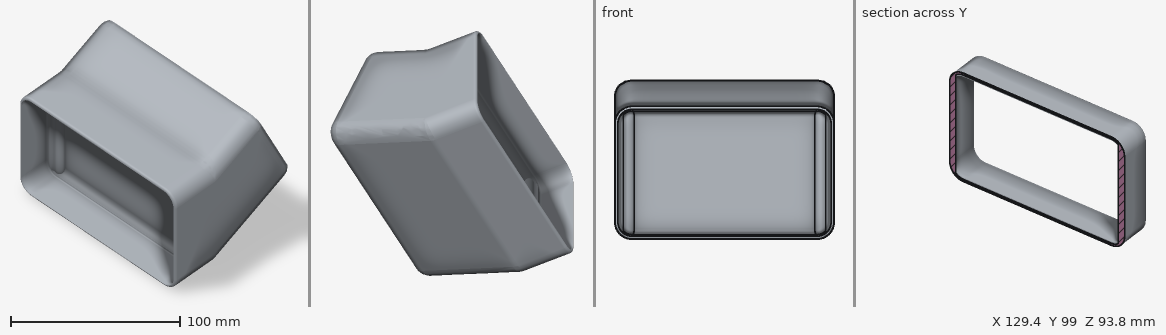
import cadquery as cq
import math

width = 129.4
height = 78.4
corner_radius = 10.2
bend_angle = 25.0
bend_position = 33.6
branch_length = 73.14
inner_bend_radius = 20.0
outer_bend_radius = 8.0

end_round_radius = 8.0
end_face_inset = 2.0

wall = 1.75
rim_round = 1.7
ledge_depth = 21.7
ledge_corner_round = 1.0
pocket_inset = 4.85
floor_depth = 27.2
lip_round = 2.2
floor_round = 4.4

slope_cos = math.cos(math.radians(bend_angle))
slope_sin = math.sin(math.radians(bend_angle))
slope = cq.Vector(0, slope_cos, slope_sin)
mid_height = height / 2
end_round_depth = math.sqrt(end_round_radius**2 - (end_round_radius - end_face_inset) ** 2)
end_trim = end_round_radius - end_round_depth

step_angle = math.acos(1 - (floor_depth - ledge_depth) / (lip_round + floor_round))
pocket_half_width = width / 2 - pocket_inset
step_x = pocket_half_width - lip_round * math.sin(step_angle)
step_y = ledge_depth + lip_round * (1 - math.cos(step_angle))
floor_half_width = step_x - floor_round * math.sin(step_angle)

cutter_size = 3 * width


def section_prism(length, inset):
    """Rounded rectangular prism from the rim plane into +Y, inset from the outer section."""
    return (
        cq.Workplane("XZ", origin=(0, 0, mid_height))
        .rect(width - 2 * inset, height - 2 * inset)
        .extrude(-length)
        .edges("|Y")
        .fillet(corner_radius - inset)
    )


def beyond(distance):
    """Block filling everything past a plane square to the slope, at a distance from the bend."""
    origin = (0, bend_position + distance * slope_cos, distance * slope_sin)
    plane = cq.Plane(origin=origin, xDir=(1, 0, 0), normal=slope.toTuple())
    return cq.Workplane(plane).rect(cutter_size, cutter_size).extrude(cutter_size)


def sloped_branch(straight):
    """Straight section carried on along the slope, with its end rounded and cut square."""
    start = straight.faces(">Y").wires().val()
    overrun = slope * (branch_length + height)
    finish = start.moved(cq.Location(overrun))
    branch = cq.Workplane(cq.Solid.makeLoft([start, finish], True))
    branch = branch.cut(beyond(branch_length + end_trim))
    end_face = cq.selectors.DirectionMinMaxSelector(slope, True)
    branch = branch.faces(end_face).edges().fillet(end_round_radius)
    return branch.cut(beyond(branch_length))


def round_bend(body, radius, side):
    """Round the bend edge and its corner arcs above (side 1) or below (side -1) mid height."""
    centre_gap = mid_height - corner_radius
    chosen = []
    for edge in body.edges().vals():
        centre = edge.Center()
        at_bend = abs(centre.y - bend_position) < 0.01
        if at_bend and side * (centre.z - mid_height) > centre_gap:
            chosen.append(edge)
    return cq.Workplane(body.val().fillet(radius, chosen))


def outer_body():
    straight = section_prism(bend_position, 0)
    body = straight.union(sloped_branch(straight))
    body = round_bend(body, inner_bend_radius, 1)
    body = round_bend(body, outer_bend_radius, -1)
    return body.faces("<Y").edges().fillet(rim_round)


def socket():
    """Wide mouth down to a ledge on each side."""
    return section_prism(ledge_depth, wall).faces(">Y").edges().fillet(ledge_corner_round)


def pocket():
    """Deeper middle of the socket, sweeping down from each ledge to the floor in an S-curve."""
    bore = section_prism(floor_depth, wall).faces(">Y").edges().fillet(floor_round)
    plan = (
        cq.Workplane("XY")
        .moveTo(-pocket_half_width, ledge_depth)
        .radiusArc((-step_x, step_y), lip_round)
        .radiusArc((-floor_half_width, floor_depth), -floor_round)
        .lineTo(floor_half_width, floor_depth)
        .radiusArc((step_x, step_y), -floor_round)
        .radiusArc((pocket_half_width, ledge_depth), lip_round)
        .close()
        .extrude(height)
    )
    return bore.intersect(plan)


result = outer_body().cut(socket()).cut(pocket())